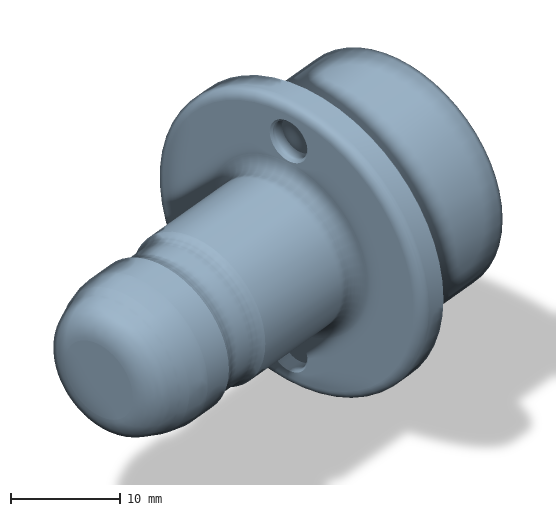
import cadquery as cq
import math

total_length = 42.8

body_radius = 12.5
body_length = 12.8
body_edge_radius = 1.0
relief_radius = 12.05
relief_length = 1.4
relief_taper_length = 0.75
relief_fillet = relief_length - relief_taper_length

flange_radius = 16.0
flange_thickness = 3.3
flange_front_radius = 1.0
flange_rear_chamfer = 0.25

shank_radius = 8.0
shank_fillet = 1.5
groove_radius = 7.5
groove_side_radius = 2.5
groove_floor_front = 10.45
groove_floor_rear = 12.55

nose_length = 5.95
nose_shoulder_radius = 6.0
nose_cone_angle = math.radians(21)
nose_tip_radius = 3.0

hole_diameter = 4.1
hole_chamfer = 0.2
hole_depth = 1.5
hole_offset = 12.0

tip_y = body_length - total_length
groove_depth = shank_radius - groove_radius
groove_side_length = math.sqrt(groove_side_radius**2 - (groove_side_radius - groove_depth) ** 2)


def arc_point(center, radius, angle):
    """Point on an arc, with the angle measured from +radius toward -Y."""
    return (center[0] + radius * math.cos(angle), center[1] - radius * math.sin(angle))


def make_turned_body():
    groove_front = tip_y + groove_floor_front
    groove_rear = tip_y + groove_floor_rear
    groove_arc_radial = groove_radius + groove_side_radius
    half_angle = math.asin(groove_side_length / groove_side_radius) / 2

    shoulder_center = (shank_radius - nose_shoulder_radius, tip_y + nose_length)
    shoulder_mid = arc_point(shoulder_center, nose_shoulder_radius, nose_cone_angle / 2)
    cone_rear = arc_point(shoulder_center, nose_shoulder_radius, nose_cone_angle)
    cone_front_y = tip_y + nose_tip_radius * (1 - math.sin(nose_cone_angle))
    cone_front_radius = cone_rear[0] - (cone_rear[1] - cone_front_y) * math.tan(nose_cone_angle)
    tip_center = (
        cone_front_radius - nose_tip_radius * math.cos(nose_cone_angle),
        tip_y + nose_tip_radius,
    )
    tip_mid = arc_point(tip_center, nose_tip_radius, (nose_cone_angle + math.pi / 2) / 2)

    profile = (
        cq.Workplane("XY")
        .moveTo(0, tip_y)
        .lineTo(tip_center[0], tip_y)
        .threePointArc(tip_mid, (cone_front_radius, cone_front_y))
        .lineTo(*cone_rear)
        .threePointArc(shoulder_mid, (shank_radius, tip_y + nose_length))
        .lineTo(shank_radius, groove_front - groove_side_length)
        .threePointArc(
            arc_point((groove_arc_radial, groove_front), groove_side_radius, math.pi - half_angle),
            (groove_radius, groove_front),
        )
        .lineTo(groove_radius, groove_rear)
        .threePointArc(
            arc_point((groove_arc_radial, groove_rear), groove_side_radius, math.pi + half_angle),
            (shank_radius, groove_rear + groove_side_length),
        )
        .lineTo(shank_radius, -flange_thickness - shank_fillet)
        .radiusArc((shank_radius + shank_fillet, -flange_thickness), shank_fillet)
        .lineTo(flange_radius - flange_front_radius, -flange_thickness)
        .radiusArc((flange_radius, flange_front_radius - flange_thickness), -flange_front_radius)
        .lineTo(flange_radius, -flange_rear_chamfer)
        .lineTo(flange_radius - flange_rear_chamfer, 0)
        .lineTo(relief_radius + relief_fillet, 0)
        .radiusArc((relief_radius, relief_fillet), relief_fillet)
        .lineTo(body_radius, relief_length)
        .lineTo(body_radius, body_length - body_edge_radius)
        .radiusArc((body_radius - body_edge_radius, body_length), -body_edge_radius)
        .lineTo(0, body_length)
        .close()
    )
    return profile.revolve(360, (0, 0, 0), (0, 1, 0))


def make_pin_hole(center_z):
    """Blind hole from the flange front face, with a chamfered mouth."""
    mouth_radius = hole_diameter / 2 + hole_chamfer
    outline = (
        cq.Workplane("XY")
        .moveTo(0, 0)
        .lineTo(mouth_radius, 0)
        .lineTo(hole_diameter / 2, hole_chamfer)
        .lineTo(hole_diameter / 2, hole_depth)
        .lineTo(0, hole_depth)
        .close()
    )
    hole = outline.revolve(360, (0, 0, 0), (0, 1, 0))
    return hole.translate((0, -flange_thickness, center_z))


result = make_turned_body()
for side in (-1, 1):
    result = result.cut(make_pin_hole(side * hole_offset))